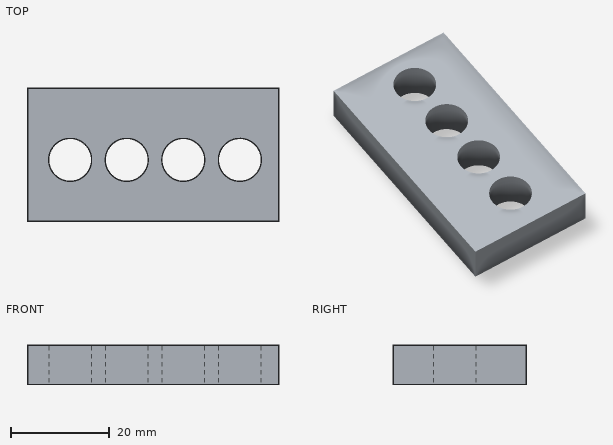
import cadquery as cq

length = 50.8
width = 26.9
thickness = 8.0

hole_count = 4
hole_diameter = 8.65
hole_pitch = 11.45
row_offset_x = 0.35
row_offset_y = -1.0

plate = cq.Workplane("XY").box(length, width, thickness)

result = (
    plate.faces(">Z")
    .workplane()
    .center(row_offset_x, row_offset_y)
    .rarray(hole_pitch, 0.5, hole_count, 1)
    .hole(hole_diameter)
)